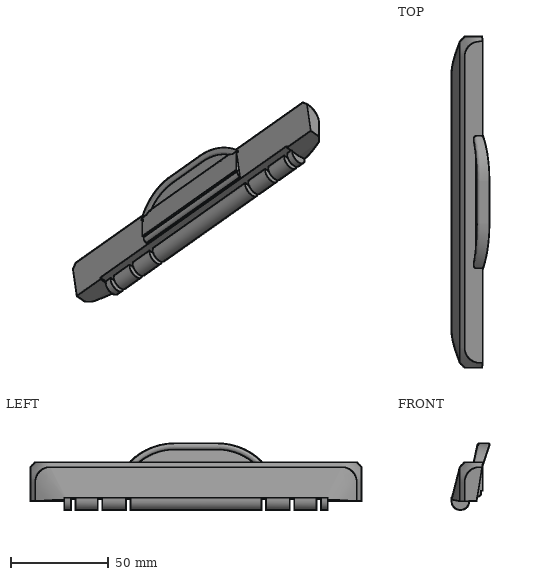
import cadquery as cq
import math

LENGTH = 170.0
HALF_LENGTH = LENGTH / 2
HEIGHT = 34.3

BARREL_RADIUS = 4.6
CENTRE_BARREL_END = 33.7
BARREL_TOP = 5.6
LEDGE_TOP = 6.3
SIDE_BARREL_SPANS = [(35.9, 48.1), (50.3, 61.9), (64.1, 67.7)]

BODY_BOTTOM = BARREL_RADIUS
BODY_TOP = 24.6
BODY_FRONT = 4.2
BACK_AT_TOP = 16.2
BACK_AT_BOTTOM = 13.0
CHAMFER = 2.5
CORNER_SETBACK = 10.2

BULGE_DEPTH = BODY_FRONT
BULGE_BOTTOM_RISE = 0.8
BULGE_FULL_DEPTH_END = 66.3
BULGE_END_RUN = 11.0

GRIP_FLAT_HALF = 10.9
GRIP_BASE_HALF = 34.0
GRIP_BOTTOM = 22.5
GRIP_RIM = 3.4
GRIP_FRONT_FILLET = 1.5
GRIP_BACK_FILLET = 0.8
GRIP_WEB_RECESS = 1.2
GRIP_FRONT_AT_BODY = 11.4
GRIP_FRONT_AT_TOP = 13.5
GRIP_BACK_AT_BODY = 16.7
GRIP_BACK_AT_TOP = 19.9

PLATE_BOTTOM = 9.9
PIN_DIAMETER = 4.0
PIN_X = 13.3
PIN_Z = 8.8


def polygon_prism(points, half_width):
    """Extrude an XZ outline symmetrically along Y."""
    return cq.Workplane("XZ").polyline(points).close().extrude(half_width, both=True)


def solid_from_faces(faces):
    return cq.Solid.makeSolid(cq.Shell.makeShell(faces))


def line(start, end):
    return cq.Edge.makeLine(cq.Vector(*start), cq.Vector(*end))


def flat_face(edges):
    return cq.Face.makeFromWires(cq.Wire.assembleEdges(edges))


def corner_cutter():
    """Material removed at the top front corner of the -Y end, with its vertex at the origin.

    The three edges are chamfered up to the setback, and the three chamfers blend in one smooth
    patch that meets each flat face in a quarter circle.
    """
    reach = CORNER_SETBACK
    mid_arc = reach - (reach - CHAMFER) * math.sqrt(0.5)

    def turned(point, turns):
        """Cycle the axes of a point, to move from one coordinate plane to the next."""
        return point[-turns:] + point[:-turns]

    faces = []
    patch_edges = []
    vertex = (0, 0, 0)
    for turns in range(3):
        far_u = turned((reach, 0, 0), turns)
        far_v = turned((0, reach, 0), turns)
        arc_start = turned((reach, CHAMFER, 0), turns)
        arc_mid = turned((mid_arc, mid_arc, 0), turns)
        arc_end = turned((CHAMFER, reach, 0), turns)
        strip_end = turned((reach, 0, CHAMFER), turns)
        arc = cq.Edge.makeThreePointArc(*[cq.Vector(*p) for p in (arc_start, arc_mid, arc_end)])
        strip = line(strip_end, arc_start)
        patch_edges += [arc, strip]
        faces.append(flat_face([
            line(vertex, far_u), line(far_u, arc_start), arc, line(arc_end, far_v), line(far_v, vertex),
        ]))
        faces.append(flat_face([line(far_u, arc_start), strip, line(strip_end, far_u)]))
    faces.append(cq.Face.makeNSidedSurface(patch_edges, []))
    return solid_from_faces(faces)


def chamfer_cutter(direction, length):
    """Triangular prism along one axis from the setback, for a corner at the origin."""
    plane = {"X": "YZ", "Y": "XZ", "Z": "XY"}[direction]
    wedge = cq.Workplane(plane).polyline([(0, 0), (CHAMFER, 0), (0, CHAMFER)]).close()
    step = -1 if direction == "Y" else 1
    offset = {"X": (CORNER_SETBACK, 0, 0), "Y": (0, CORNER_SETBACK, 0), "Z": (0, 0, CORNER_SETBACK)}
    return wedge.extrude(step * length).translate(offset[direction])


def make_body():
    body = polygon_prism(
        [
            (BODY_FRONT, BODY_BOTTOM),
            (BACK_AT_BOTTOM, BODY_BOTTOM),
            (BACK_AT_TOP, BODY_TOP),
            (BODY_FRONT, BODY_TOP),
        ],
        HALF_LENGTH,
    )
    cutters = [
        cq.Workplane(corner_cutter()),
        chamfer_cutter("X", BACK_AT_TOP),
        chamfer_cutter("Y", HALF_LENGTH - CORNER_SETBACK),
        chamfer_cutter("Z", BODY_TOP),
    ]
    for cutter in cutters:
        placed = cutter.mirror("XY").translate((BODY_FRONT, -HALF_LENGTH, BODY_TOP))
        body = body.cut(placed).cut(placed.mirror("XZ"))
    return body


def make_bulge():
    """Pillow on the front face: flush along the chamfers, full depth along the bottom edge."""
    side = HALF_LENGTH - CHAMFER
    top = BODY_TOP - CHAMFER
    radius = CORNER_SETBACK - CHAMFER
    arc_inset = radius * (1 - math.sqrt(0.5))
    rise_bottom = BODY_BOTTOM + BULGE_BOTTOM_RISE
    nose = BODY_FRONT - BULGE_DEPTH

    def at_front(y, z):
        return (BODY_FRONT, y, z)

    def end_edges(sign):
        upright = line(at_front(sign * side, BODY_BOTTOM), at_front(sign * side, top - radius))
        arc = cq.Edge.makeThreePointArc(
            cq.Vector(*at_front(sign * side, top - radius)),
            cq.Vector(*at_front(sign * (side - arc_inset), top - arc_inset)),
            cq.Vector(*at_front(sign * (side - radius), top)),
        )
        run = side - BULGE_FULL_DEPTH_END
        start = cq.Vector(*at_front(sign * side, BODY_BOTTOM))
        finish = cq.Vector(nose, sign * BULGE_FULL_DEPTH_END, rise_bottom)
        start_pull = cq.Vector(-BULGE_DEPTH, -sign * BULGE_END_RUN, BULGE_BOTTOM_RISE) * (1 / 3)
        finish_pull = cq.Vector(0, sign * run / 3, 0)
        sweep = cq.Edge.makeBezier([start, start + start_pull, finish + finish_pull, finish])
        return upright, arc, sweep

    left_upright, left_arc, left_sweep = end_edges(-1)
    right_upright, right_arc, right_sweep = end_edges(1)
    nose_ends = [(nose, sign * BULGE_FULL_DEPTH_END, rise_bottom) for sign in (-1, 1)]
    top_ends = [at_front(sign * (side - radius), top) for sign in (-1, 1)]
    nose_edge = line(*nose_ends)
    top_edge = line(*top_ends)
    foot = line(at_front(-side, BODY_BOTTOM), at_front(side, BODY_BOTTOM))
    left_seam, right_seam = [line(low, high) for low, high in zip(nose_ends, top_ends)]
    faces = [
        flat_face([left_upright, left_arc, top_edge, right_arc, right_upright, foot]),
        flat_face([left_sweep, nose_edge, right_sweep, foot]),
        flat_face([nose_edge, left_seam, top_edge, right_seam]),
        cq.Face.makeRuledSurface(left_sweep, left_arc),
        cq.Face.makeRuledSurface(right_sweep, right_arc),
    ]
    return cq.Workplane(solid_from_faces(faces))


def make_barrels():
    spans = [(-CENTRE_BARREL_END, CENTRE_BARREL_END)]
    for inner, outer in SIDE_BARREL_SPANS:
        spans += [(inner, outer), (-outer, -inner)]
    barrels = []
    for start, end in spans:
        barrel = (
            cq.Workplane("XZ", origin=(0, end, 0))
            .moveTo(0, BARREL_TOP)
            .lineTo(0, BODY_BOTTOM)
            .threePointArc((BARREL_RADIUS, BODY_BOTTOM - BARREL_RADIUS), (2 * BARREL_RADIUS, BODY_BOTTOM))
            .lineTo(2 * BARREL_RADIUS, BARREL_TOP)
            .close()
            .extrude(end - start)
        )
        barrels.append(barrel)
    return barrels


def hinge_prism(back, bottom, top):
    """Box from the nose of the bulge back to a given X, as long as the row of barrels."""
    hinge_end = SIDE_BARREL_SPANS[-1][1]
    return polygon_prism([(0, bottom), (back, bottom), (back, top), (0, top)], hinge_end)


def arch(inset):
    """Arched YZ outline of the grip, pulled in by an inset and extruded along X."""
    run = GRIP_BASE_HALF - GRIP_FLAT_HALF
    drop = HEIGHT - BODY_TOP
    outer_radius = (run**2 + drop**2) / (2 * drop)
    centre_z = HEIGHT - outer_radius
    radius = outer_radius - inset
    base_angle = math.asin((GRIP_BOTTOM - centre_z) / radius)
    mid_angle = (base_angle + math.pi / 2) / 2

    def on_arc(sign, angle):
        return (sign * (GRIP_FLAT_HALF + radius * math.cos(angle)), centre_z + radius * math.sin(angle))

    return (
        cq.Workplane("YZ")
        .moveTo(*on_arc(-1, base_angle))
        .threePointArc(on_arc(-1, mid_angle), on_arc(-1, math.pi / 2))
        .lineTo(*on_arc(1, math.pi / 2))
        .threePointArc(on_arc(1, mid_angle), on_arc(1, base_angle))
        .close()
        .extrude(2 * GRIP_BACK_AT_TOP)
    )


def leaning_slab(recess):
    """Slab between the leaning front and back planes of the grip, thinned by a recess."""
    below = (BODY_TOP - GRIP_BOTTOM) / (HEIGHT - BODY_TOP)

    def at_bottom(at_body, at_top):
        return at_body - (at_top - at_body) * below

    return polygon_prism(
        [
            (at_bottom(GRIP_FRONT_AT_BODY, GRIP_FRONT_AT_TOP) + recess, GRIP_BOTTOM),
            (at_bottom(GRIP_BACK_AT_BODY, GRIP_BACK_AT_TOP) - recess, GRIP_BOTTOM),
            (GRIP_BACK_AT_TOP - recess, HEIGHT),
            (GRIP_FRONT_AT_TOP + recess, HEIGHT),
        ],
        HALF_LENGTH,
    )


def make_grip():
    rim = arch(0).cut(arch(GRIP_RIM)).intersect(leaning_slab(0))
    rim = rim.faces("<X").edges("not <Z").fillet(GRIP_FRONT_FILLET)
    rim = rim.faces(">X").edges("not <Z").fillet(GRIP_BACK_FILLET)
    web = arch(GRIP_RIM / 2).intersect(leaning_slab(GRIP_WEB_RECESS))
    return rim.union(web)


def make_backing():
    plate = polygon_prism(
        [
            (BODY_FRONT + CHAMFER, PLATE_BOTTOM),
            (BACK_AT_TOP, PLATE_BOTTOM),
            (BACK_AT_TOP, BODY_TOP),
            (BODY_FRONT + CHAMFER, BODY_TOP),
        ],
        GRIP_BASE_HALF,
    )
    pin = cq.Workplane("XZ").center(PIN_X, PIN_Z).circle(PIN_DIAMETER / 2).extrude(GRIP_BASE_HALF, both=True)
    return plate.union(pin)


relief = hinge_prism(BACK_AT_TOP, 0, BARREL_TOP)
ledge = hinge_prism(BODY_FRONT, BARREL_TOP, LEDGE_TOP)

result = make_body().union(make_bulge()).cut(relief).union(ledge)
for barrel in make_barrels():
    result = result.union(barrel)
result = result.union(make_backing()).union(make_grip())